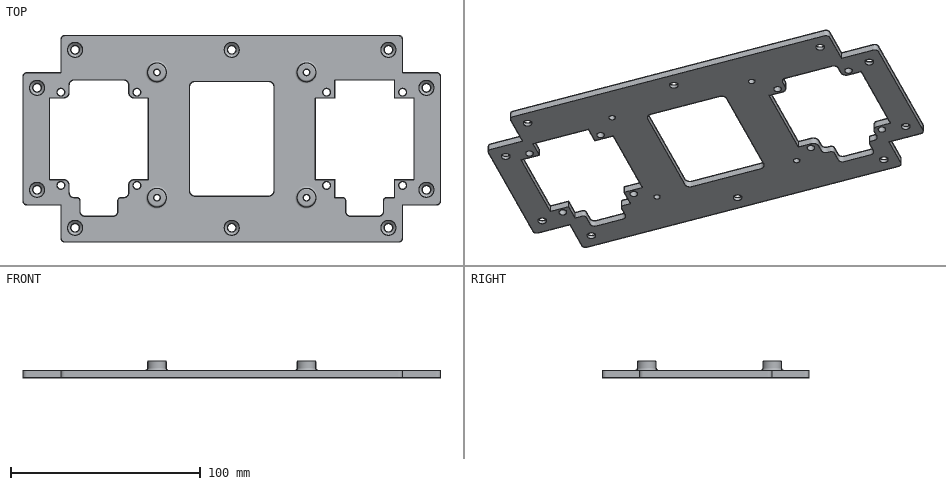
import cadquery as cq

length = 220.0
width = 109.0
thickness = 4.0
body_length = 180.0
arm_width = 69.7
outer_corner_radius = 2.2

window_length = 44.5
window_width = 60.3
window_corner_radius = 2.9

opening_x = 70.0
wide_length = 52.0
wide_width = 43.0
tall_length = 31.2
tall_width = 61.8
tab_length = 19.8
tab_end_y = -40.7
tab_corner_radius = 2.5
tab_mouth_radius = 1.8

tall_corner_radius = 2.5
ear_radius = 3.0

ear_hole_diameter = 4.0
ear_hole_pitch_x = 40.0
ear_hole_pitch_y = 49.0

screw_hole_diameter = 4.5
screw_head_diameter = 8.0
countersink_angle = 90
body_screw_x = 82.5
body_screw_y = 46.9
arm_screw_x = 102.5
arm_screw_y = 26.8

standoff_diameter = 10.0
standoff_height = 5.0
standoff_hole_diameter = 3.3
standoff_pitch_x = 78.8
standoff_pitch_y = 66.0
standoff_center_y = 2.0
standoff_base_radius = 1.0
standoff_top_radius = 0.9


def block(size_x, size_y, center_x=0, center_y=0):
    """Box as thick as the plate, standing on its lower face."""
    return (
        cq.Workplane("XY")
        .center(center_x, center_y)
        .rect(size_x, size_y)
        .extrude(thickness)
    )


def corner_edges(x_places, y_places):
    """Selector for the vertical edges at every pairing of the given places."""
    reach = 0.1
    selector = None
    for x in x_places:
        for y in y_places:
            low = (x - reach, y - reach, 0)
            high = (x + reach, y + reach, thickness)
            box = cq.selectors.BoxSelector(low, high)
            selector = box if selector is None else selector + box
    return selector


def make_plate():
    body = block(body_length, width).edges("|Z").fillet(outer_corner_radius)
    arms = block(length, arm_width).edges("|Z").fillet(outer_corner_radius)
    return body.union(arms)


def make_window():
    return block(window_length, window_width).edges("|Z").fillet(window_corner_radius)


def make_opening(center_x, rounded_ears):
    """Cutter for one side opening; its ears are the plate corners it leaves standing."""
    tab = block(tab_length, abs(tab_end_y), center_x, tab_end_y / 2)
    opening = block(wide_length, wide_width, center_x)
    opening = opening.union(block(tall_length, tall_width, center_x)).union(tab)

    tab_sides = (center_x - tab_length / 2, center_x + tab_length / 2)
    tall_sides = (center_x - tall_length / 2, center_x + tall_length / 2)
    tall_ends = (-tall_width / 2, tall_width / 2)
    wide_ends = (-wide_width / 2, wide_width / 2)
    opening = opening.edges(corner_edges(tab_sides, [tab_end_y])).fillet(tab_corner_radius)
    opening = opening.edges(corner_edges(tab_sides, [-tall_width / 2])).fillet(tab_mouth_radius)
    if rounded_ears:
        opening = opening.edges(corner_edges(tall_sides, tall_ends)).fillet(tall_corner_radius)
        opening = opening.edges(corner_edges(tall_sides, wide_ends)).fillet(ear_radius)
    return opening


def drill_ear_holes(plate, center_x):
    return (
        plate.faces(">Z")
        .workplane(origin=(center_x, 0, thickness))
        .rarray(ear_hole_pitch_x, ear_hole_pitch_y, 2, 2)
        .hole(ear_hole_diameter)
    )


def drill_screw_holes(plate):
    places = [(x, y) for x in (-body_screw_x, 0, body_screw_x) for y in (-body_screw_y, body_screw_y)]
    places += [(x, y) for x in (-arm_screw_x, arm_screw_x) for y in (-arm_screw_y, arm_screw_y)]
    return (
        plate.faces(">Z")
        .workplane(origin=(0, 0, thickness))
        .pushPoints(places)
        .cskHole(screw_hole_diameter, screw_head_diameter, countersink_angle)
    )


def add_standoffs(plate):
    standoff_top = thickness + standoff_height
    radius = standoff_diameter / 2
    foot_radius = radius + standoff_base_radius
    profile = (
        cq.Workplane("XZ")
        .lineTo(foot_radius, 0)
        .lineTo(foot_radius, thickness)
        .radiusArc((radius, thickness + standoff_base_radius), standoff_base_radius)
        .lineTo(radius, standoff_top - standoff_top_radius)
        .radiusArc((radius - standoff_top_radius, standoff_top), -standoff_top_radius)
        .lineTo(0, standoff_top)
        .close()
    )
    standoff = profile.revolve(360, (0, 0, 0), (0, 1, 0))
    bore = cq.Workplane("XY").circle(standoff_hole_diameter / 2).extrude(standoff_top)
    for x in (-standoff_pitch_x / 2, standoff_pitch_x / 2):
        for side in (-1, 1):
            place = (x, standoff_center_y + side * standoff_pitch_y / 2, 0)
            plate = plate.union(standoff.translate(place)).cut(bore.translate(place))
    return plate


result = make_plate().cut(make_window())
result = result.cut(make_opening(-opening_x, rounded_ears=True))
result = result.cut(make_opening(opening_x, rounded_ears=False))
for side in (-1, 1):
    result = drill_ear_holes(result, side * opening_x)
result = drill_screw_holes(result)
result = add_standoffs(result)